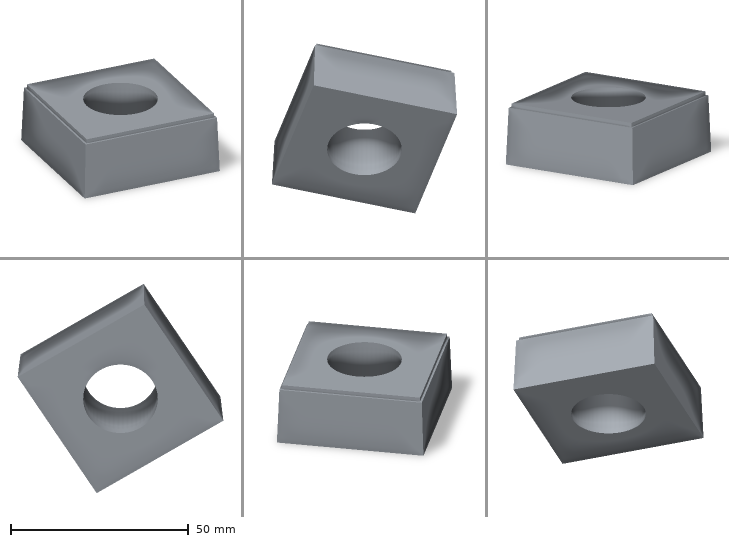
import cadquery as cq

base_side = 42.0
total_height = 17.7
side_inset = 0.6
ledge_width = 0.65
pad_height = 1.2
bore_diameter = 21.0

body_height = total_height - pad_height
shoulder_side = base_side - 2 * side_inset
pad_side = shoulder_side - 2 * ledge_width

body = (
    cq.Workplane("XY")
    .rect(base_side, base_side)
    .workplane(offset=body_height)
    .rect(shoulder_side, shoulder_side)
    .loft(combine=True)
)

pad = (
    cq.Workplane("XY")
    .workplane(offset=body_height)
    .rect(pad_side, pad_side)
    .extrude(pad_height)
)

bore = cq.Workplane("XY").circle(bore_diameter / 2).extrude(total_height)

result = body.union(pad).cut(bore)